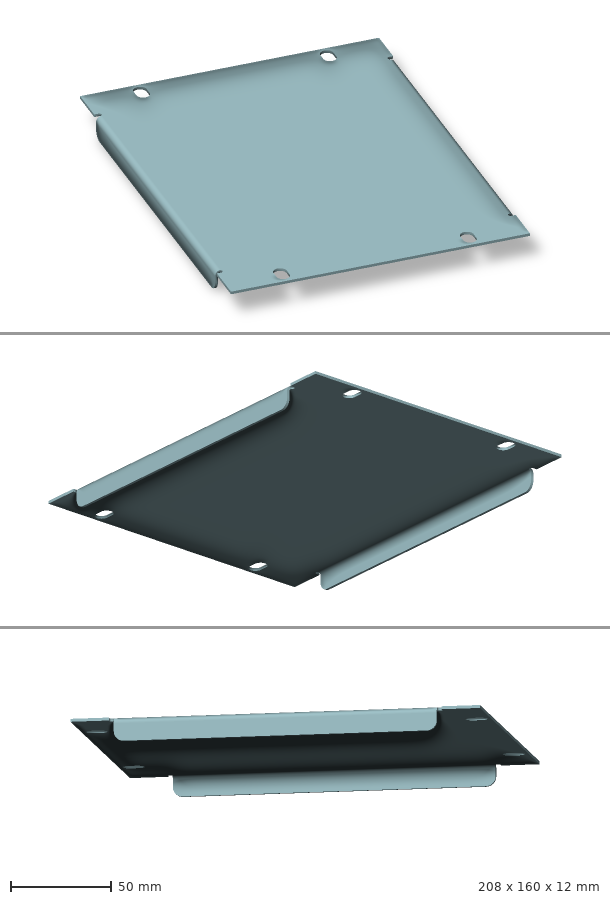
import cadquery as cq

PANEL_LENGTH = 208.0
PANEL_WIDTH = 160.0
HEIGHT = 12.0

THICKNESS = 1.5
INNER_BEND_RADIUS = 1.5
OUTER_BEND_RADIUS = INNER_BEND_RADIUS + THICKNESS

FLANGE_LENGTH = 164.0
FLANGE_CORNER_RADIUS = 5.0

NOTCH_WIDTH = 2.5
NOTCH_DEPTH = 3.5

SLOT_LENGTH = 11.0
SLOT_WIDTH = 7.0
SLOT_SPACING_X = 193.0
SLOT_SPACING_Y = 100.0

PANEL_EDGE = PANEL_WIDTH / 2
BEND_LINE = PANEL_EDGE - OUTER_BEND_RADIUS
FLANGE_END = FLANGE_LENGTH / 2


def make_panel():
    """Flat sheet, with the strip taken by each flange and its two notches cut away."""
    panel = cq.Workplane("XY").box(PANEL_LENGTH, PANEL_WIDTH, THICKNESS, centered=(True, True, False))
    panel = panel.translate((0, 0, -THICKNESS))
    for side in (-1, 1):
        strip = (
            cq.Workplane("XY")
            .box(FLANGE_LENGTH, OUTER_BEND_RADIUS, THICKNESS, centered=(True, True, False))
            .translate((0, side * (PANEL_EDGE - OUTER_BEND_RADIUS / 2), -THICKNESS))
        )
        panel = panel.cut(strip)
        for end in (-1, 1):
            panel = panel.cut(make_notch(end, side))
    return panel


def make_notch(end, side):
    """Relief beside one end of a flange, a slot with a fully rounded floor."""
    notch = (
        cq.Workplane("XY")
        .slot2D(2 * NOTCH_DEPTH, NOTCH_WIDTH, angle=90)
        .extrude(THICKNESS)
    )
    return notch.translate((end * (FLANGE_END + NOTCH_WIDTH / 2), side * PANEL_EDGE, -THICKNESS))


def make_flange():
    """Bend and downturned flange along the +Y edge, with rounded lower corners."""
    bend_height = -OUTER_BEND_RADIUS
    inner_face = PANEL_EDGE - THICKNESS
    profile = (
        cq.Workplane("YZ")
        .moveTo(BEND_LINE, 0)
        .radiusArc((PANEL_EDGE, bend_height), OUTER_BEND_RADIUS)
        .lineTo(PANEL_EDGE, -HEIGHT)
        .lineTo(inner_face, -HEIGHT)
        .lineTo(inner_face, bend_height)
        .radiusArc((BEND_LINE, -THICKNESS), -INNER_BEND_RADIUS)
        .close()
    )
    flange = profile.extrude(FLANGE_END, both=True)
    return flange.faces("<Z").edges("|Y").fillet(FLANGE_CORNER_RADIUS)


def make_slots():
    """Four through slots near the short edges."""
    return (
        cq.Workplane("XY")
        .rect(SLOT_SPACING_X, SLOT_SPACING_Y, forConstruction=True)
        .vertices()
        .slot2D(SLOT_LENGTH, SLOT_WIDTH)
        .extrude(-THICKNESS)
    )


panel = make_panel().cut(make_slots())
flange = make_flange()
result = panel.union(flange).union(flange.mirror("XZ"))